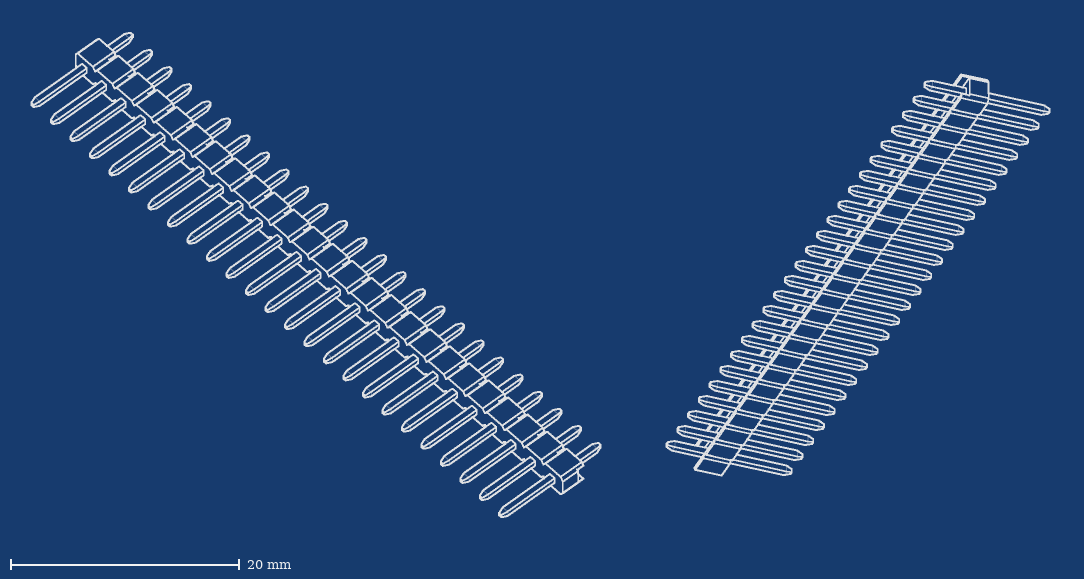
import cadquery as cq

pin_count = 25
pitch = 2.55
row_length = pin_count * pitch

body_depth = 2.5
body_height = 2.5
notch_depth = 0.41
notch_half_width = 0.285

channel_depth = 0.7
channel_height = 1.85

pin_offset = -0.1
pin_width = 0.65
tip_width = 0.3
tip_length = 0.6
front_pin_length = 6.1
back_pin_length = 3.05


def section_positions():
    """X positions of the middles of the body sections, symmetric about the origin."""
    return [(i - (pin_count - 1) / 2) * pitch for i in range(pin_count)]


def make_segment_block():
    """Body section for one pin: a block with its four edges along Y bevelled to form the notches."""
    half_pitch = pitch / 2
    half_height = body_height / 2
    flat_half_width = half_pitch - notch_half_width
    side_half_height = half_height - notch_depth
    outline = [
        (-half_pitch, -side_half_height),
        (-flat_half_width, -half_height),
        (flat_half_width, -half_height),
        (half_pitch, -side_half_height),
        (half_pitch, side_half_height),
        (flat_half_width, half_height),
        (-flat_half_width, half_height),
        (-half_pitch, side_half_height),
    ]
    return cq.Workplane("XZ").polyline(outline).close().extrude(body_depth / 2, both=True)


def make_channel():
    """Cutter for the channel, open at the back face and at both ends of the row."""
    return (
        cq.Workplane("XY")
        .box(row_length, channel_depth, channel_height)
        .translate((0, (body_depth - channel_depth) / 2, 0))
    )


def make_tip():
    """Square tapered tip pointing along +Y from the XZ plane."""
    return (
        cq.Workplane("XZ")
        .rect(pin_width, pin_width)
        .workplane(offset=-tip_length)
        .rect(tip_width, tip_width)
        .loft()
    )


def make_pin():
    """Square pin through the body, with a tapered tip at each end."""
    shank_front = -body_depth / 2 - front_pin_length + tip_length
    shank_back = body_depth / 2 + back_pin_length - tip_length
    shank = (
        cq.Workplane("XY")
        .box(pin_width, shank_back - shank_front, pin_width)
        .translate((0, (shank_front + shank_back) / 2, 0))
    )
    back_tip = make_tip().translate((0, shank_back, 0))
    front_tip = make_tip().mirror("XZ").translate((0, shank_front, 0))
    return shank.union(back_tip).union(front_tip)


def repeat_along_row(shape):
    """One copy of the shape in each body section, joined together."""
    copies = [shape.translate((x, 0, 0)).val() for x in section_positions()]
    return cq.Workplane(copies[0].fuse(*copies[1:]))


body = repeat_along_row(make_segment_block()).cut(make_channel())
pins = repeat_along_row(make_pin()).translate((pin_offset, 0, 0))
result = cq.Workplane(body.union(pins).clean().solids().val())